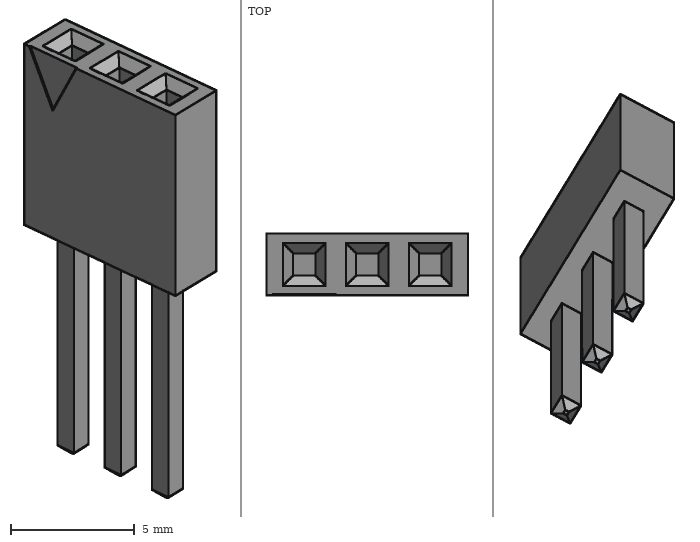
import cadquery as cq

PIN_COUNT = 3
PITCH = 2.55

HOUSING_LENGTH = 8.17
HOUSING_WIDTH = 2.5
HOUSING_HEIGHT = 8.64
TOTAL_HEIGHT = 19.45

PIN_SIDE = 0.9
TIP_FLAT_SIDE = 0.18

FUNNEL_MOUTH = 1.73

MARK_WIDTH = 2.53
MARK_HEIGHT = 2.53
MARK_DEPTH = 0.05

PIN_XS = [(i - (PIN_COUNT - 1) / 2) * PITCH for i in range(PIN_COUNT)]
PIN_POINTS = [(x, 0) for x in PIN_XS]
PIN_BOTTOM = HOUSING_HEIGHT - TOTAL_HEIGHT
PIN_TOP = HOUSING_HEIGHT / 2
TIP_HEIGHT = (PIN_SIDE - TIP_FLAT_SIDE) / 2
SHANK_BOTTOM = PIN_BOTTOM + TIP_HEIGHT
FUNNEL_DEPTH = (FUNNEL_MOUTH - PIN_SIDE) / 2


def square_frustum(x, z, start_side, end_side, height):
    """Square-section taper rising from z, centred at x."""
    return (
        cq.Workplane("XY", origin=(x, 0, z))
        .rect(start_side, start_side)
        .workplane(offset=height)
        .rect(end_side, end_side)
        .loft(ruled=True)
    )


def make_orientation_mark():
    """Triangular cutter on the -Y face, pointing down at the first pin."""
    first_x = PIN_XS[0]
    return (
        cq.Workplane("XZ", origin=(0, -HOUSING_WIDTH / 2, 0))
        .moveTo(first_x - MARK_WIDTH / 2, HOUSING_HEIGHT)
        .lineTo(first_x + MARK_WIDTH / 2, HOUSING_HEIGHT)
        .lineTo(first_x, HOUSING_HEIGHT - MARK_HEIGHT)
        .close()
        .extrude(-MARK_DEPTH)
    )


def make_housing():
    """Block with square through holes, lead-in funnels and a recessed mark."""
    block = cq.Workplane("XY").box(
        HOUSING_LENGTH, HOUSING_WIDTH, HOUSING_HEIGHT, centered=(True, True, False)
    )
    holes = (
        cq.Workplane("XY")
        .pushPoints(PIN_POINTS)
        .rect(PIN_SIDE, PIN_SIDE)
        .extrude(HOUSING_HEIGHT)
    )
    block = block.cut(holes)
    funnel_bottom = HOUSING_HEIGHT - FUNNEL_DEPTH
    for x in PIN_XS:
        block = block.cut(square_frustum(x, funnel_bottom, PIN_SIDE, FUNNEL_MOUTH, FUNNEL_DEPTH))
    return block.cut(make_orientation_mark())


def make_pin(x):
    """Square pin with a tapered lower tip, seated in the lower half of its hole."""
    shank = (
        cq.Workplane("XY", origin=(x, 0, SHANK_BOTTOM))
        .rect(PIN_SIDE, PIN_SIDE)
        .extrude(PIN_TOP - SHANK_BOTTOM)
    )
    tip = square_frustum(x, PIN_BOTTOM, TIP_FLAT_SIDE, PIN_SIDE, TIP_HEIGHT)
    return shank.union(tip)


housing = make_housing()
pins = [make_pin(x) for x in PIN_XS]

result = cq.Compound.makeCompound([housing.val(), *[pin.val() for pin in pins]])